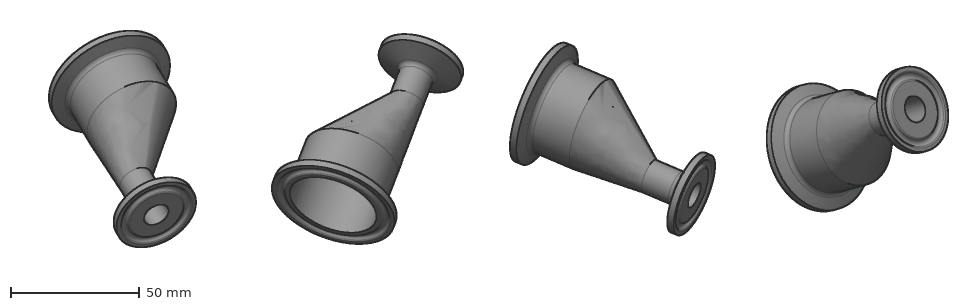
import cadquery as cq
import math

length = 75.0
large_flange_diameter = 50.5
large_tube_diameter = 38.1
large_bore_diameter = 35.7
small_flange_diameter = 34.0
small_tube_diameter = 13.8
small_bore_diameter = 10.5

small_axis_y = -(large_tube_diameter - small_tube_diameter) / 2
taper_start = 23.0
taper_end = 55.0

rim_thickness = 2.9
back_angle = math.radians(20)
neck_fillet = 2.1
groove_inset = 3.64
groove_half_width = 2.0
groove_depth = 1.5
groove_lip_radius = 0.7


def ferrule(flange_diameter, tube_diameter, tube_end):
    """Solid flange and tube from X = 0, with a sloped back and a fillet at the neck."""
    rim = flange_diameter / 2
    tube = tube_diameter / 2
    slope_end = tube + neck_fillet * (1 - math.sin(back_angle))
    slope_end_x = rim_thickness + (rim - slope_end) * math.tan(back_angle)
    fillet_center_x = slope_end_x + neck_fillet * math.cos(back_angle)
    middle_angle = (back_angle + math.pi / 2) / 2
    fillet_middle = (
        fillet_center_x - neck_fillet * math.cos(middle_angle),
        tube + neck_fillet * (1 - math.sin(middle_angle)),
    )
    profile = (
        cq.Workplane("XY")
        .lineTo(0, rim)
        .lineTo(rim_thickness, rim)
        .lineTo(slope_end_x, slope_end)
        .threePointArc(fillet_middle, (fillet_center_x, tube))
        .lineTo(tube_end, tube)
        .lineTo(tube_end, 0)
        .close()
    )
    body = profile.revolve(360, (0, 0, 0), (1, 0, 0))
    return body.cut(gasket_groove(rim - groove_inset))


def gasket_groove(middle):
    """Ring cutter: a round groove floor blended into the face by rounded lips."""
    center_distance = (groove_half_width**2 + groove_depth**2) / (2 * groove_depth)
    floor_radius = center_distance - groove_lip_radius
    floor_center_x = groove_depth - floor_radius
    lip_angle = math.asin(groove_half_width / center_distance)
    blend_x = floor_center_x + floor_radius * math.cos(lip_angle)
    blend_offset = floor_radius * math.sin(lip_angle)
    lip_middle_x = groove_lip_radius * (1 - math.cos(lip_angle / 2))
    lip_middle_offset = groove_half_width - groove_lip_radius * math.sin(lip_angle / 2)
    profile = (
        cq.Workplane("XY")
        .moveTo(0, middle - groove_half_width)
        .threePointArc((lip_middle_x, middle - lip_middle_offset), (blend_x, middle - blend_offset))
        .threePointArc((groove_depth, middle), (blend_x, middle + blend_offset))
        .threePointArc((lip_middle_x, middle + lip_middle_offset), (0, middle + groove_half_width))
        .close()
    )
    return profile.revolve(360, (0, 0, 0), (1, 0, 0))


def taper(large_diameter, small_diameter):
    """Straight-sided eccentric cone between the two tubes."""
    return (
        cq.Workplane("YZ", origin=(taper_start, 0, 0))
        .circle(large_diameter / 2)
        .workplane(offset=taper_end - taper_start)
        .center(small_axis_y, 0)
        .circle(small_diameter / 2)
        .loft(ruled=True)
    )


def cylinder(diameter, start, end, axis_y):
    return cq.Workplane("YZ", origin=(start, axis_y, 0)).circle(diameter / 2).extrude(end - start)


large_end = ferrule(large_flange_diameter, large_tube_diameter, taper_start)
small_end = (
    ferrule(small_flange_diameter, small_tube_diameter, length - taper_end)
    .mirror("YZ")
    .translate((length, small_axis_y, 0))
)
outside = large_end.union(taper(large_tube_diameter, small_tube_diameter)).union(small_end)

passage = (
    cylinder(large_bore_diameter, 0, taper_start, 0)
    .union(taper(large_bore_diameter, small_bore_diameter))
    .union(cylinder(small_bore_diameter, taper_end, length, small_axis_y))
)

result = outside.cut(passage)